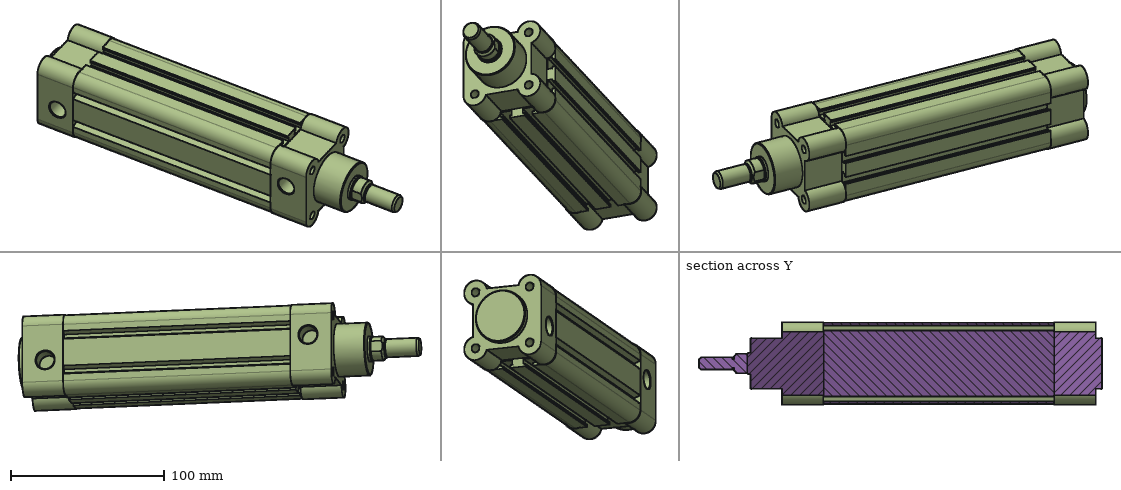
import cadquery as cq


OVERALL_LENGTH = 263.0
COLLAR_LENGTH = 4.2
CAP_LENGTH = 27.0
TUBE_LENGTH = 150.5
BOSS_LENGTH = 20.5
LIP_LENGTH = 2.4
WRENCH_LENGTH = 6.8
NECK_LENGTH = 2.4

REAR_CAP_START = COLLAR_LENGTH
TUBE_START = REAR_CAP_START + CAP_LENGTH
FRONT_CAP_START = TUBE_START + TUBE_LENGTH
FRONT_CAP_END = FRONT_CAP_START + CAP_LENGTH
BOSS_END = FRONT_CAP_END + BOSS_LENGTH
ROD_START = BOSS_END + LIP_LENGTH
NECK_START = ROD_START + WRENCH_LENGTH
THREAD_START = NECK_START + NECK_LENGTH

CAP_WIDTH = 54.0
LOBE_OFFSET = 19.0
LOBE_RADIUS = CAP_WIDTH / 2 - LOBE_OFFSET
RECESS_OFFSET = 20.8
SCREW_HOLE_DIAMETER = 5.5
SCREW_HOLE_DEPTH = 13.2
COLLAR_DIAMETER = 34.7
COLLAR_CHAMFER = 0.5
LIP_RADIUS = 8.5
LIP_CHAMFER = 0.8

PORT_DIAMETER = 11.8
PORT_CHAMFER = 0.5
PORT_DEPTH = 13.2
PORT_HEIGHT = 4.7
REAR_PORT_X = 19.5
FRONT_PORT_X = 193.5

TUBE_WIDTH = 53.0
TUBE_CORNER_RADIUS = TUBE_WIDTH / 2 - LOBE_OFFSET
SLOT_DEPTH = 5.0
SLOT_LIP = 1.5
SLOT_BEVEL = 0.5
SLOT_INNER_EDGE = 5.3
SLOT_OUTER_EDGE = 10.5
SLOT_UNDERCUT = 1.3
GROOVE_DEPTH = 4.2
GROOVE_INNER_EDGE = 9.0
GROOVE_OUTER_EDGE = 14.5
GROOVE_TAPER = 1.5

ROD_RADIUS = 8.0
FLAT_OFFSET = 7.0
SHOULDER_CHAMFER = 1.5
NECK_RADIUS = 5.3
THREAD_RADIUS = 6.0
THREAD_CHAMFER = 0.8
THREAD_CHAMFER_LENGTH = 1.5


def cross_section(x):
    """Plane square to the axis at x, with local x along +Y and local y along +Z."""
    return cq.Workplane("YZ", origin=(x, 0, 0))


def cap_block(start):
    """Cap with four screw lobes, recessed between them on every side but -Y."""
    lobes_at = [(y, z) for y in (-LOBE_OFFSET, LOBE_OFFSET) for z in (-LOBE_OFFSET, LOBE_OFFSET)]
    core = cross_section(start).rect(2 * RECESS_OFFSET, 2 * RECESS_OFFSET).extrude(CAP_LENGTH)
    lobes = cross_section(start).pushPoints(lobes_at).circle(LOBE_RADIUS).extrude(CAP_LENGTH)
    port_side_depth = CAP_WIDTH / 2 - LOBE_OFFSET
    port_side = (
        cross_section(start)
        .center(-CAP_WIDTH / 2 + port_side_depth / 2, 0)
        .rect(port_side_depth, 2 * LOBE_OFFSET)
        .extrude(CAP_LENGTH)
    )
    return core.union(lobes).union(port_side)


def screw_holes(start):
    """Four blind holes running toward +X from the given station."""
    pitch = 2 * LOBE_OFFSET
    return (
        cross_section(start)
        .rect(pitch, pitch, forConstruction=True)
        .vertices()
        .circle(SCREW_HOLE_DIAMETER / 2)
        .extrude(SCREW_HOLE_DEPTH)
    )


def air_port(x, z):
    """Blind round port entering from the -Y side, chamfered at its mouth."""
    radius = PORT_DIAMETER / 2
    face = -CAP_WIDTH / 2
    mouth = cq.Solid.makeCone(
        radius + PORT_CHAMFER, radius, PORT_CHAMFER, cq.Vector(x, face, z), cq.Vector(0, 1, 0)
    )
    bore = cq.Workplane("XZ", origin=(x, face, z)).circle(radius).extrude(-PORT_DEPTH)
    return bore.union(cq.Workplane(mouth))


def make_rear_cap():
    collar = (
        cross_section(0)
        .circle(COLLAR_DIAMETER / 2)
        .extrude(COLLAR_LENGTH)
        .faces("<X")
        .chamfer(COLLAR_CHAMFER)
    )
    return (
        cap_block(REAR_CAP_START)
        .union(collar)
        .cut(screw_holes(REAR_CAP_START))
        .cut(air_port(REAR_PORT_X, -PORT_HEIGHT))
    )


def make_front_cap():
    boss = (
        cross_section(FRONT_CAP_END)
        .circle(COLLAR_DIAMETER / 2)
        .extrude(BOSS_LENGTH)
        .faces(">X")
        .chamfer(COLLAR_CHAMFER)
    )
    wiper_lip = (
        cross_section(BOSS_END)
        .circle(LIP_RADIUS)
        .extrude(LIP_LENGTH)
        .faces(">X")
        .chamfer(LIP_CHAMFER)
    )
    return (
        cap_block(FRONT_CAP_START)
        .union(boss)
        .union(wiper_lip)
        .cut(screw_holes(FRONT_CAP_END - SCREW_HOLE_DEPTH))
        .cut(air_port(FRONT_PORT_X, PORT_HEIGHT))
    )


def undercut_slot():
    """Slot in the +Z side, wider below its lips than at its mouth."""
    top = TUBE_WIDTH / 2
    lip_bottom = top - SLOT_LIP
    neck_top = lip_bottom - SLOT_BEVEL
    floor = top - SLOT_DEPTH
    return (
        cross_section(TUBE_START)
        .moveTo(SLOT_INNER_EDGE, top)
        .lineTo(SLOT_OUTER_EDGE, top)
        .lineTo(SLOT_OUTER_EDGE, lip_bottom)
        .lineTo(SLOT_OUTER_EDGE + SLOT_UNDERCUT, neck_top)
        .lineTo(SLOT_OUTER_EDGE + SLOT_UNDERCUT, floor)
        .lineTo(SLOT_INNER_EDGE - SLOT_UNDERCUT, floor)
        .lineTo(SLOT_INNER_EDGE - SLOT_UNDERCUT, neck_top)
        .lineTo(SLOT_INNER_EDGE, lip_bottom)
        .close()
        .extrude(TUBE_LENGTH)
    )


def sloped_groove():
    """Groove in the -Y side, above the axis, narrowing toward its floor."""
    face = -TUBE_WIDTH / 2
    floor = face + GROOVE_DEPTH
    return (
        cross_section(TUBE_START)
        .moveTo(face, GROOVE_INNER_EDGE)
        .lineTo(floor, GROOVE_INNER_EDGE + GROOVE_TAPER)
        .lineTo(floor, GROOVE_OUTER_EDGE - GROOVE_TAPER)
        .lineTo(face, GROOVE_OUTER_EDGE)
        .close()
        .extrude(TUBE_LENGTH)
    )


def make_tube():
    tube = (
        cross_section(TUBE_START)
        .rect(TUBE_WIDTH, TUBE_WIDTH)
        .extrude(TUBE_LENGTH)
        .edges("|X")
        .fillet(TUBE_CORNER_RADIUS)
    )
    slot = undercut_slot()
    for slots in (slot, slot.mirror("XZ")):
        for turn in (-90, 0, 180):
            tube = tube.cut(slots.rotate((0, 0, 0), (1, 0, 0), turn))
    groove = sloped_groove()
    return tube.cut(groove).cut(groove.mirror("XY"))


def make_rod():
    """Rod end with a wrench section, an undercut neck and a threaded tip."""
    turned = (
        cq.Workplane("XY")
        .moveTo(ROD_START, 0)
        .lineTo(ROD_START, ROD_RADIUS)
        .lineTo(NECK_START, ROD_RADIUS)
        .lineTo(NECK_START + SHOULDER_CHAMFER, ROD_RADIUS - SHOULDER_CHAMFER)
        .lineTo(NECK_START + SHOULDER_CHAMFER, NECK_RADIUS)
        .lineTo(THREAD_START, NECK_RADIUS)
        .lineTo(THREAD_START, THREAD_RADIUS)
        .lineTo(OVERALL_LENGTH - THREAD_CHAMFER_LENGTH, THREAD_RADIUS)
        .lineTo(OVERALL_LENGTH, THREAD_RADIUS - THREAD_CHAMFER)
        .lineTo(OVERALL_LENGTH, 0)
        .close()
        .revolve(360, (0, 0, 0), (1, 0, 0))
    )
    rod_length = OVERALL_LENGTH - ROD_START
    across_flats = cross_section(ROD_START).rect(2 * FLAT_OFFSET, 2 * ROD_RADIUS).extrude(rod_length)
    return turned.intersect(across_flats)


rear_cap = make_rear_cap()
tube = make_tube()
front_cap = make_front_cap()
rod = make_rod()

result = cq.Compound.makeCompound([rear_cap.val(), tube.val(), front_cap.val(), rod.val()])